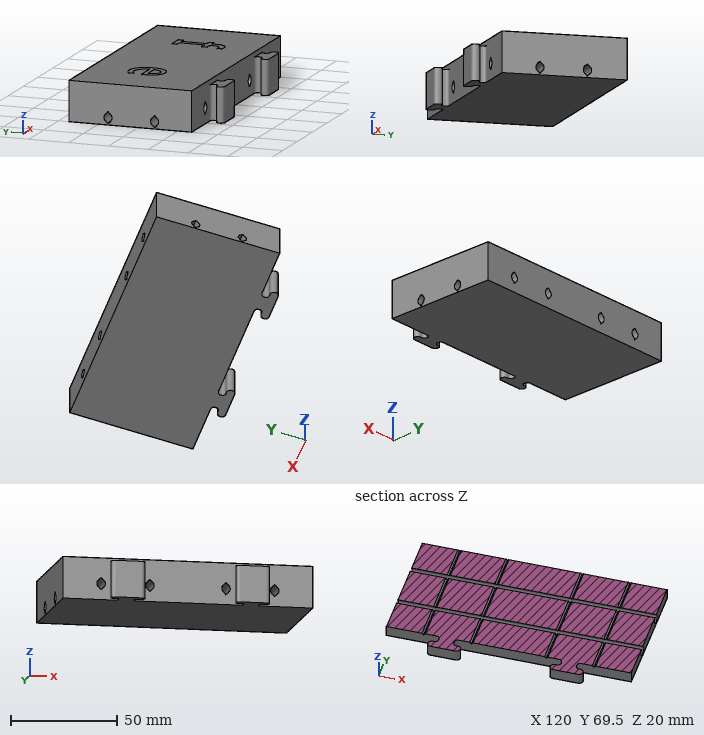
import cadquery as cq
import math

length = 120.0
overall_depth = 69.5
height = 20.0
tab_depth = 7.8
block_depth = overall_depth - tab_depth
cell_pitch = length / 2
cell_centers = [cell_pitch / 2, 3 * cell_pitch / 2]

tab_top_step = 2.5
tab_height = height - tab_top_step
flange_half_width = 8.0
flange_thickness = 4.1
flange_corner_radius = 1.9
neck_half_width = 3.8
neck_fillet = 1.5

passage_radius = 2.0
passage_spacing = 23.4
depthwise_passage_height = 7.7
lengthwise_passage_height = 3.6
lengthwise_passage_middle = 30.3

inlay_depth = 1.0
baseline_y = 42.2


def quarter_arc_middle(center_x, center_y, radius, toward_x, toward_y):
    """Point halfway round a quarter arc, on the given diagonal side of its centre."""
    reach = radius * math.sqrt(0.5)
    return (center_x + toward_x * reach, center_y + toward_y * reach)


def make_tab(center_x):
    """Upright tab: a flange with rounded corners on a neck that flares into the block."""
    corner_x = flange_half_width - flange_corner_radius
    flange_back = flange_thickness - tab_depth
    front_corner_y = flange_corner_radius - tab_depth
    back_corner_y = flange_back - flange_corner_radius
    flare = neck_half_width + neck_fillet
    neck_front = flange_back + neck_fillet
    half = (
        cq.Workplane("XY")
        .moveTo(0, -tab_depth)
        .lineTo(corner_x, -tab_depth)
        .threePointArc(
            quarter_arc_middle(corner_x, front_corner_y, flange_corner_radius, 1, -1),
            (flange_half_width, front_corner_y),
        )
        .lineTo(flange_half_width, back_corner_y)
        .threePointArc(
            quarter_arc_middle(corner_x, back_corner_y, flange_corner_radius, 1, 1),
            (corner_x, flange_back),
        )
        .lineTo(flare, flange_back)
        .threePointArc(
            quarter_arc_middle(flare, neck_front, neck_fillet, -1, -1),
            (neck_half_width, neck_front),
        )
        .lineTo(neck_half_width, -neck_fillet)
        .threePointArc(
            quarter_arc_middle(flare, -neck_fillet, neck_fillet, -1, 1),
            (flare, 0),
        )
        .lineTo(0, 0)
        .close()
        .extrude(tab_height)
    )
    return half.union(half.mirror("YZ")).translate((center_x, 0, 0))


def make_passage(plane, run):
    """Passage along the plane's normal: a circle joined with its 45 degree tangent diamond."""
    peak = passage_radius * math.sqrt(2)
    tangent = passage_radius / math.sqrt(2)
    return (
        cq.Workplane(plane)
        .moveTo(0, peak)
        .lineTo(tangent, tangent)
        .threePointArc((passage_radius, 0), (tangent, -tangent))
        .lineTo(0, -peak)
        .lineTo(-tangent, -tangent)
        .threePointArc((-passage_radius, 0), (-tangent, tangent))
        .close()
        .extrude(run)
    )


def place_letter(letter, center_x):
    """Turn an upright letter to face the back edge and set it into the top face."""
    turned = letter.rotate((0, 0, 0), (0, 0, 1), 180)
    return turned.translate((center_x, baseline_y, height - inlay_depth))


def make_letter_e():
    """Upright letter e standing on its baseline, with an open eye."""
    bar_bottom = 8.3
    bar_top = 10.5
    bowl_left = -4.4
    bowl_right = 3.7
    bar_right = 6.8
    tail_lower = (6.5, 2.2)
    tail_upper = (5.3, 4.0)
    outer_curve = [(0, 17.9), (-4.5, 16.4), (-7.8, 9.1), (-3.2, 0.5), (0.2, -0.2), tail_lower]
    inner_curve = [(0.7, 2.5), (-3.0, 4.5), (bowl_left, bar_bottom)]
    eye_curve = [(3.2, 13.2), (0, 15.6), (-2.6, 14.3), (bowl_left, bar_top)]
    outline = (
        cq.Workplane("XY")
        .moveTo(bowl_left, bar_bottom)
        .lineTo(bar_right, bar_bottom)
        .lineTo(bar_right, bar_top)
        .spline(outer_curve, includeCurrent=True)
        .lineTo(*tail_upper)
        .spline(inner_curve, includeCurrent=True)
        .close()
        .extrude(inlay_depth)
    )
    eye = (
        cq.Workplane("XY")
        .moveTo(bowl_right, bar_top)
        .spline(eye_curve, includeCurrent=True)
        .close()
        .extrude(inlay_depth)
    )
    return outline.cut(eye)


def make_letter_f():
    """Upright letter f with a foot serif, a crossbar and a hooked top."""
    stem_left = -3.0
    stem_right = 0.1
    foot_left = -5.6
    foot_right = 2.9
    foot_top = 2.5
    bar_bottom = 15.1
    bar_top = 17.9
    bar_right = 4.0
    hook_start = 20.5
    hook_tip = 4.7
    hook_bottom = 23.3
    hook_top = 25.5
    hook_inner_middle = (1.0, 22.5)
    hook_inner_end = (2.9, hook_bottom)
    hook_outer_curve = [(2.3, 25.9), (-1.5, 24.3), (stem_left, hook_start)]
    return (
        cq.Workplane("XY")
        .moveTo(foot_left, 0)
        .lineTo(foot_right, 0)
        .lineTo(foot_right, foot_top)
        .lineTo(stem_right, foot_top)
        .lineTo(stem_right, bar_bottom)
        .lineTo(bar_right, bar_bottom)
        .lineTo(bar_right, bar_top)
        .lineTo(stem_right, bar_top)
        .lineTo(stem_right, hook_start)
        .threePointArc(hook_inner_middle, hook_inner_end)
        .lineTo(hook_tip, hook_bottom)
        .lineTo(hook_tip, hook_top)
        .spline(hook_outer_curve, includeCurrent=True)
        .lineTo(stem_left, bar_top)
        .lineTo(foot_left, bar_top)
        .lineTo(foot_left, bar_bottom)
        .lineTo(stem_left, bar_bottom)
        .lineTo(stem_left, foot_top)
        .lineTo(foot_left, foot_top)
        .close()
        .extrude(inlay_depth)
    )


def make_block(letters):
    """Block with its two tabs, the crossing passages and a recess for each letter."""
    body = cq.Workplane("XY").box(length, block_depth, height, centered=False)
    for center_x in cell_centers:
        body = body.union(make_tab(center_x))
    for side in (-1, 1):
        offset = side * passage_spacing / 2
        passage_y = lengthwise_passage_middle + offset
        lengthwise = make_passage("YZ", length)
        body = body.cut(lengthwise.translate((0, passage_y, lengthwise_passage_height)))
        for center_x in cell_centers:
            depthwise = make_passage("XZ", -block_depth)
            body = body.cut(depthwise.translate((center_x + offset, 0, depthwise_passage_height)))
    for letter in letters:
        body = body.cut(letter)
    return body


letter_e = place_letter(make_letter_e(), cell_centers[0])
letter_f = place_letter(make_letter_f(), cell_centers[1])
block = make_block([letter_e, letter_f])

result = cq.Compound.makeCompound([block.val(), letter_e.val(), letter_f.val()])